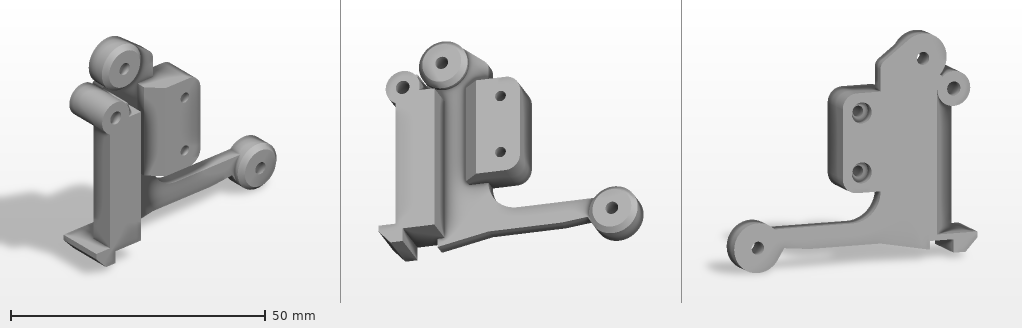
import cadquery as cq
import math


PLATE_T = 3.0
BOSS_T = 5.0
TAB_T = 8.0
FULL_T = 10.0

BOSS_R = 5.0
BOSS_CHAMFER = 1.0
BOSS_HOLE_D = 2.6
UPPER_BOSS = (0.0, 35.5)
TAIL_BOSS = (35.0, 0.0)

BARREL_R = 3.5
BARREL_HOLE_D = 2.8
BARREL = (-6.5, 29.0)

BEAD_R = 0.335
GAP_BEAD = (-3.65, 31.6)
LIP_BEAD = (-3.67, 31.1)

PLATE_BACK_Y = 9.0
PLATE_FRONT_Y = -3.0
PLATE_CORNER_R = 2.0
ARM_TOP_Z = 3.5
ARM_CORNER_R = 6.0
ARM_BOTTOM_Z = -0.95
ARM_BEND_Y = 24.0
ARM_TIP = (29.4, -0.4)
GUSSET_END = (31.0, -3.0)
HEEL = (-1.5, -2.95)

TAB_BACK_Y = 17.0
TAB_TOP_Z = 29.5
TAB_BOTTOM_Z = 9.5
TAB_CORNER_R = 3.0
TAB_FRONT_Y = 5.0
TAB_SLOPE = TAB_T - BOSS_T
SCREW_INSET = 4.0
SCREW_D = 2.2
SCREW_HEAD_D = 4.2
SCREW_HEAD_DEPTH = 2.0

COLUMN_BACK_Y = 0.0
COLUMN_BEVEL = 5.0
COLUMN_TOP_Z = 28.0

FOOT_T = 1.2
FOOT_FRONT_Y = -11.5
TOE_BACK_Y = -6.5
TOE_FRONT_Y = -9.0
TOE_BOTTOM_Z = -3.9


def extrude_x(sketch, thickness):
    """Extrude a YZ sketch from x = 0 towards +X."""
    return sketch.close().extrude(thickness)


def cylinder_x(center, radius, length, start=0.0):
    """Cylinder with its axis along X, centred at (y, z)."""
    return cq.Workplane("YZ", origin=(start, 0, 0)).center(*center).circle(radius).extrude(length)


def boss(center):
    return cylinder_x(center, BOSS_R, BOSS_T).faces(">X").chamfer(BOSS_CHAMFER)


def plate():
    """Thin web that joins the two bosses, with the tail arm."""
    slope_angle = math.atan2(3, 4)
    tangent_y = UPPER_BOSS[0] + BOSS_R * math.sin(slope_angle)
    tangent_z = UPPER_BOSS[1] + BOSS_R * math.cos(slope_angle)
    corner_z = tangent_z - (PLATE_BACK_Y - tangent_y) * math.tan(slope_angle)
    setback = PLATE_CORNER_R * math.tan((math.pi / 2 - slope_angle) / 2)
    round_start = (PLATE_BACK_Y, corner_z - setback)
    round_end = (
        PLATE_BACK_Y - setback * math.cos(slope_angle),
        corner_z + setback * math.sin(slope_angle),
    )
    sketch = (
        cq.Workplane("YZ")
        .moveTo(*HEEL)
        .lineTo(PLATE_BACK_Y, ARM_BOTTOM_Z)
        .lineTo(ARM_BEND_Y, ARM_BOTTOM_Z)
        .lineTo(*ARM_TIP)
        .lineTo(*GUSSET_END)
        .lineTo(*TAIL_BOSS)
        .lineTo(TAIL_BOSS[0], ARM_TOP_Z)
        .lineTo(PLATE_BACK_Y + ARM_CORNER_R, ARM_TOP_Z)
        .radiusArc((PLATE_BACK_Y, ARM_TOP_Z + ARM_CORNER_R), ARM_CORNER_R)
        .lineTo(*round_start)
        .radiusArc(round_end, -PLATE_CORNER_R)
        .lineTo(tangent_y, tangent_z)
        .lineTo(*UPPER_BOSS)
        .lineTo(*BARREL)
        .lineTo(PLATE_FRONT_Y, BARREL[1])
        .lineTo(PLATE_FRONT_Y, -FOOT_T)
        .lineTo(HEEL[0], -FOOT_T)
    )
    return extrude_x(sketch, PLATE_T)


def tab():
    """Thick screw tab whose outer face slopes down towards the plate."""
    height = TAB_TOP_Z - TAB_BOTTOM_Z
    block = (
        cq.Workplane("XY", origin=(0, 0, TAB_BOTTOM_Z))
        .moveTo(0, TAB_BACK_Y)
        .lineTo(TAB_T, TAB_BACK_Y)
        .lineTo(TAB_T, TAB_FRONT_Y + TAB_SLOPE)
        .lineTo(BOSS_T, TAB_FRONT_Y)
        .lineTo(0, TAB_FRONT_Y)
        .close()
        .extrude(height)
    )
    return block.edges("|X and >Y").fillet(TAB_CORNER_R)


def column():
    """Upright column carrying the barrel, with a beveled front corner."""
    return (
        cq.Workplane("XY", origin=(0, 0, -FOOT_T))
        .moveTo(0, COLUMN_BACK_Y)
        .lineTo(FULL_T, COLUMN_BACK_Y)
        .lineTo(FULL_T, PLATE_FRONT_Y - COLUMN_BEVEL)
        .lineTo(COLUMN_BEVEL, PLATE_FRONT_Y - COLUMN_BEVEL)
        .lineTo(0, PLATE_FRONT_Y)
        .close()
        .extrude(COLUMN_TOP_Z + FOOT_T)
    )


def foot():
    sketch = (
        cq.Workplane("YZ")
        .moveTo(COLUMN_BACK_Y, 0)
        .lineTo(FOOT_FRONT_Y, 0)
        .lineTo(FOOT_FRONT_Y, -FOOT_T)
        .lineTo(TOE_FRONT_Y, TOE_BOTTOM_Z)
        .lineTo(TOE_BACK_Y, TOE_BOTTOM_Z)
        .lineTo(TOE_BACK_Y, -FOOT_T)
        .lineTo(COLUMN_BACK_Y, -FOOT_T)
    )
    return extrude_x(sketch, FULL_T)


def beads():
    """Fine beads in the throat between the upper boss and the barrel."""
    gap_bead = cylinder_x(GAP_BEAD, BEAD_R, PLATE_T)
    lip_bead = cylinder_x(LIP_BEAD, BEAD_R, FULL_T - PLATE_T, start=PLATE_T)
    return gap_bead.union(lip_bead)


def screw_hole(center):
    shank = cylinder_x(center, SCREW_D / 2, TAB_T)
    head = cylinder_x(center, SCREW_HEAD_D / 2, SCREW_HEAD_DEPTH)
    return shank.union(head)


result = plate().union(tab()).union(column()).union(foot())
for boss_center in (UPPER_BOSS, TAIL_BOSS):
    result = result.union(boss(boss_center))
result = result.union(cylinder_x(BARREL, BARREL_R, FULL_T))
result = result.union(beads())

for boss_center in (UPPER_BOSS, TAIL_BOSS):
    result = result.cut(cylinder_x(boss_center, BOSS_HOLE_D / 2, BOSS_T))
result = result.cut(cylinder_x(BARREL, BARREL_HOLE_D / 2, FULL_T))
for screw_z in (TAB_BOTTOM_Z + SCREW_INSET, TAB_TOP_Z - SCREW_INSET):
    result = result.cut(screw_hole((TAB_BACK_Y - SCREW_INSET, screw_z)))